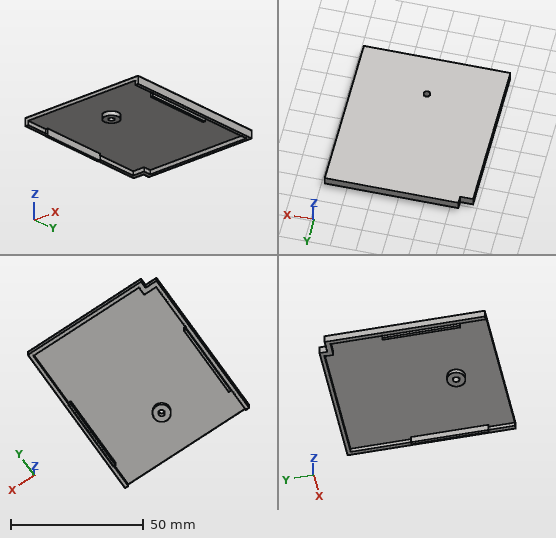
import cadquery as cq

width = 57.0
depth = 65.0
plate_thickness = 1.6
cover_height = 3.4
wall_thickness = 1.5

notch_width = 5.0
notch_depth = 3.0
notch_wall_thickness = 2.0

rib_thickness = 1.0
rib_length = 30.0
rib_front_offset = 10.0
rib_protrusion = 1.2

hole_diameter = 2.5
boss_diameter = 7.0
hole_front_offset = 17.0

plate_underside = cover_height - plate_thickness


def box(x_min, y_min, z_min, x_size, y_size, z_size):
    """Box placed by its lowest corner."""
    return cq.Workplane("XY").box(x_size, y_size, z_size, centered=False).translate((x_min, y_min, z_min))


def make_shell():
    """Plate with left, right and back walls; open at the front and stepped around the notch."""
    shell = box(0, 0, 0, width, depth, cover_height)
    notch = box(0, depth - notch_depth, 0, notch_width, notch_depth, cover_height)
    cavity = box(
        wall_thickness, 0, 0, width - 2 * wall_thickness, depth - wall_thickness, plate_underside
    )
    notch_wall_width = notch_width + notch_wall_thickness
    notch_wall_depth = notch_depth + notch_wall_thickness
    notch_wall = box(
        0, depth - notch_wall_depth, 0, notch_wall_width, notch_wall_depth, plate_underside
    )
    return shell.cut(cavity.cut(notch_wall)).cut(notch)


def make_rib(x_min):
    """Rib hanging from the plate and reaching below the wall rim."""
    return box(
        x_min,
        rib_front_offset,
        -rib_protrusion,
        rib_thickness,
        rib_length,
        plate_underside + rib_protrusion,
    )


def make_cylinder(diameter, height):
    """Upright cylinder on the screw axis, starting at the wall rim."""
    return cq.Workplane("XY").center(width / 2, hole_front_offset).circle(diameter / 2).extrude(height)


left_rib_x = wall_thickness
right_rib_x = width - wall_thickness - rib_thickness

result = make_shell()
for rib_x in (left_rib_x, right_rib_x):
    result = result.union(make_rib(rib_x))
result = result.union(make_cylinder(boss_diameter, plate_underside))
result = result.cut(make_cylinder(hole_diameter, cover_height))